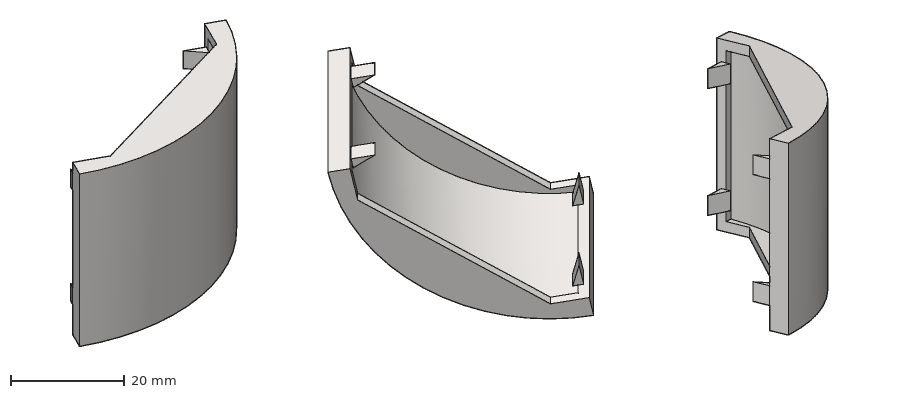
import cadquery as cq
import math

outer_radius = 39.95
height = 36.3
flange_depth = 4.0
flange_width = 7.0
wall = 2.4
rim = 2.0

barb_length = 4.27
barb_base = 2.0
barb_width = 3.75
barb_edge_gap = 1.0
barb_end_gap = 4.27

flange_face = outer_radius - flange_depth
cavity_radius = outer_radius - wall
cavity_reach = math.sqrt(cavity_radius**2 - rim**2)
barb_levels = (barb_end_gap, height - barb_end_gap - barb_width)


def arc_middle(radius):
    """Point halfway round a quarter arc centred on the origin."""
    return (radius / math.sqrt(2), radius / math.sqrt(2))


def make_body():
    """Quarter-round segment with two flanges joined by a flat diagonal."""
    return (
        cq.Workplane("XY")
        .moveTo(0, outer_radius)
        .threePointArc(arc_middle(outer_radius), (outer_radius, 0))
        .lineTo(flange_face, 0)
        .lineTo(flange_face, flange_width)
        .lineTo(flange_width, flange_face)
        .lineTo(0, flange_face)
        .close()
        .extrude(height)
    )


def make_cavity():
    """Curved pocket, open towards the inside, between the end plates."""
    return (
        cq.Workplane("XY", origin=(0, 0, rim))
        .moveTo(rim, rim)
        .lineTo(rim, cavity_reach)
        .threePointArc(arc_middle(cavity_radius), (cavity_reach, rim))
        .close()
        .extrude(height - 2 * rim)
    )


def make_barb(level):
    """Pointed wedge on the flange that faces -Y."""
    return (
        cq.Workplane("XY", origin=(0, 0, level))
        .moveTo(barb_edge_gap, flange_face)
        .lineTo(barb_edge_gap + barb_base, flange_face)
        .lineTo(barb_edge_gap, flange_face - barb_length)
        .close()
        .extrude(barb_width)
    )


def swap_flange(shape):
    """Carry a shape to the other flange by mirroring in the plane X = Y."""
    return shape.mirror("XZ").rotate((0, 0, 0), (0, 0, 1), 90)


result = make_body().cut(make_cavity())
for barb_level in barb_levels:
    barb = make_barb(barb_level)
    result = result.union(barb).union(swap_flange(barb))